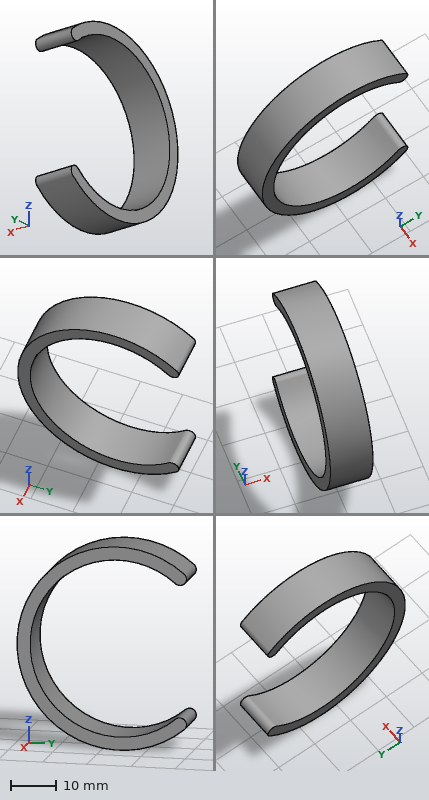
import cadquery as cq
import math

outer_radius = 23.0
wall = 3.0
width = 10.0
half_gap_angle = 50.0

inner_radius = outer_radius - wall
middle_radius = outer_radius - wall / 2
tip_radius = wall / 2


def ring_point(radius, angle):
    """Point (Y, Z) at a radius and an angle in degrees measured from +Y."""
    turn = math.radians(angle)
    return (radius * math.cos(turn), radius * math.sin(turn))


def tip_crown(side):
    """Farthest point of a rounded tip; side is 1 for the upper, -1 for the lower."""
    center_y, center_z = ring_point(middle_radius, side * half_gap_angle)
    toward_gap_y, toward_gap_z = ring_point(tip_radius, side * (half_gap_angle - 90))
    return (center_y + toward_gap_y, center_z + toward_gap_z)


profile = (
    cq.Workplane("YZ")
    .moveTo(*ring_point(outer_radius, half_gap_angle))
    .threePointArc((-outer_radius, 0), ring_point(outer_radius, -half_gap_angle))
    .threePointArc(tip_crown(-1), ring_point(inner_radius, -half_gap_angle))
    .threePointArc((-inner_radius, 0), ring_point(inner_radius, half_gap_angle))
    .threePointArc(tip_crown(1), ring_point(outer_radius, half_gap_angle))
    .close()
)

result = profile.extrude(width / 2, both=True)